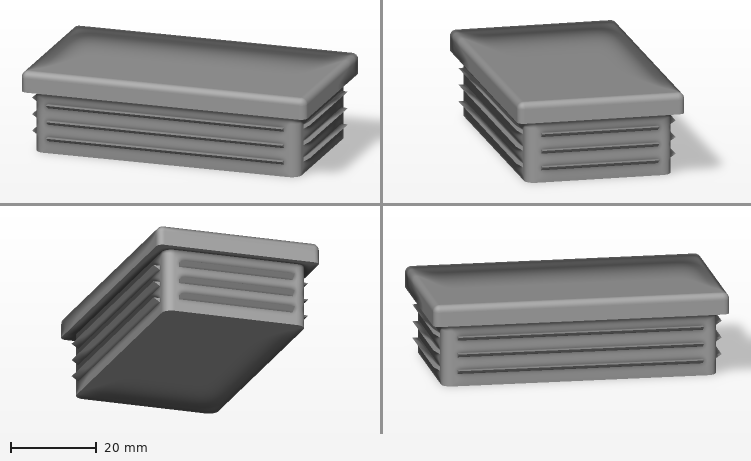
import cadquery as cq

length = 70.0
width = 40.0
height = 20.0
cap_height = 5.0
cap_round = 1.55

plug_inset = 2.5
plug_corner_radius = 2.4
plug_length = length - 2 * plug_inset
plug_width = width - 2 * plug_inset
plug_height = height - cap_height

fin_end_gap = 3.5
fin_reach = 1.6
fin_height = 1.05
fin_count = 3
fin_pitch = height / 5
fin_root = 0.15


def make_cap():
    cap = cq.Workplane("XY").workplane(offset=plug_height).rect(length, width).extrude(cap_height)
    return cap.edges("|Z or >Z").fillet(cap_round)


def make_plug():
    plug = cq.Workplane("XY").rect(plug_length, plug_width).extrude(plug_height)
    return plug.edges("|Z").fillet(plug_corner_radius)


def make_fin(wall_distance, fin_length, top):
    """Fin on the +X wall, centred on the X axis."""
    root = wall_distance - fin_root
    return (
        cq.Workplane("XZ")
        .moveTo(root, top)
        .lineTo(wall_distance + fin_reach, top)
        .lineTo(wall_distance, top - fin_height)
        .lineTo(root, top - fin_height)
        .close()
        .extrude(fin_length / 2, both=True)
    )


result = make_cap().union(make_plug())

end_fin_length = plug_width - 2 * fin_end_gap
side_fin_length = plug_length - 2 * fin_end_gap
for level in range(1, fin_count + 1):
    fin_top = level * fin_pitch
    end_fin = make_fin(plug_length / 2, end_fin_length, fin_top)
    side_fin = make_fin(plug_width / 2, side_fin_length, fin_top)
    for angle in (0, 180):
        result = result.union(end_fin.rotate((0, 0, 0), (0, 0, 1), angle))
        result = result.union(side_fin.rotate((0, 0, 0), (0, 0, 1), angle + 90))